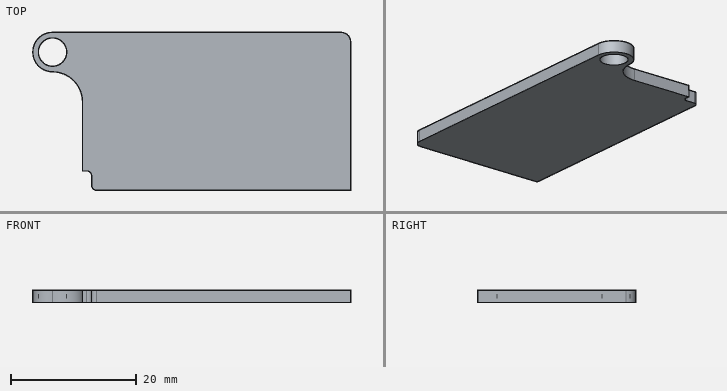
import cadquery as cq

inch = 25.4

length = 50.86
width = 25.29
thickness = 2.0
far_corner_radius = inch / 16

eye_radius = inch / 8
eye_hole_diameter = 4.5
neck_radius = 3 * inch / 16

notch_depth = 1.48
notch_height = 3.1
notch_radius = inch / 32

eye_x = eye_radius
eye_y = width - eye_radius
body_left = eye_x + neck_radius
neck_top = eye_y - eye_radius
notch_x = body_left + notch_depth


def make_plate():
    """Plate outline, traced clockwise from the top of the eye."""
    return (
        cq.Workplane("XY")
        .moveTo(eye_x, width)
        .lineTo(length - far_corner_radius, width)
        .radiusArc((length, width - far_corner_radius), far_corner_radius)
        .lineTo(length, 0)
        .lineTo(notch_x + notch_radius, 0)
        .radiusArc((notch_x, notch_radius), notch_radius)
        .lineTo(notch_x, notch_height - notch_radius)
        .radiusArc((notch_x - notch_radius, notch_height), -notch_radius)
        .lineTo(body_left, notch_height)
        .lineTo(body_left, neck_top - neck_radius)
        .radiusArc((eye_x, neck_top), -neck_radius)
        .threePointArc((eye_x - eye_radius, eye_y), (eye_x, width))
        .close()
        .extrude(thickness)
    )


def make_eye_hole():
    """Cylinder that opens the eye through the full thickness."""
    return (
        cq.Workplane("XY")
        .center(eye_x, eye_y)
        .circle(eye_hole_diameter / 2)
        .extrude(thickness)
    )


result = make_plate().cut(make_eye_hole())